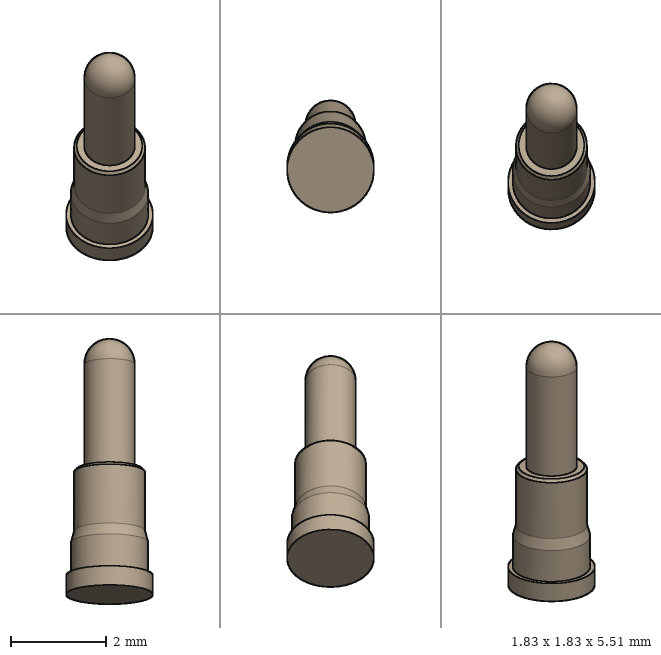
import cadquery as cq
import math

total_height = 5.51
flange_diameter = 1.83
lower_barrel_diameter = 1.63
upper_barrel_diameter = 1.5
plunger_diameter = 1.07

flange_top = 0.415
taper_bottom = 1.13
taper_top = 1.38
barrel_top = 2.705
barrel_chamfer = 0.06

flange_radius = flange_diameter / 2
lower_barrel_radius = lower_barrel_diameter / 2
upper_barrel_radius = upper_barrel_diameter / 2
plunger_radius = plunger_diameter / 2

dome_base = total_height - plunger_radius
dome_mid_offset = plunger_radius * math.sqrt(0.5)

half_section = (
    cq.Workplane("XZ")
    .lineTo(flange_radius, 0)
    .lineTo(flange_radius, flange_top)
    .lineTo(lower_barrel_radius, flange_top)
    .lineTo(lower_barrel_radius, taper_bottom)
    .lineTo(upper_barrel_radius, taper_top)
    .lineTo(upper_barrel_radius, barrel_top - barrel_chamfer)
    .lineTo(upper_barrel_radius - barrel_chamfer, barrel_top)
    .lineTo(plunger_radius, barrel_top)
    .lineTo(plunger_radius, dome_base)
    .threePointArc((dome_mid_offset, dome_base + dome_mid_offset), (0, total_height))
    .close()
)

result = half_section.revolve(360, (0, 0, 0), (0, 1, 0))